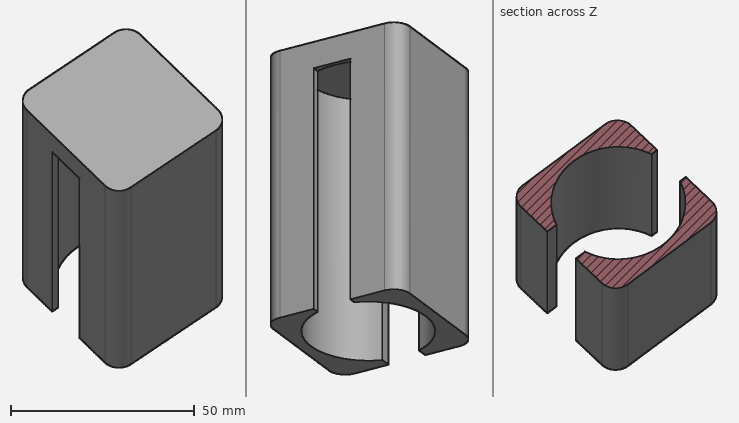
import cadquery as cq

bore_diameter = 36.4
roof_thickness = 2.0

side_wall = 3.4
front_wall = 1.2
back_wall = 2.5

length_x = bore_diameter + 2 * side_wall
width_y = bore_diameter + front_wall + back_wall
height = 81.0
corner_radius = 5.0

bore_center_y = (front_wall - back_wall) / 2
bore_depth = height - roof_thickness

slot_width = 11.6
slot_height = 73.0


def make_block():
    """Upright block with rounded vertical corners, standing on Z = 0."""
    block = cq.Workplane("XY").box(length_x, width_y, height, centered=(True, True, False))
    return block.edges("|Z").fillet(corner_radius)


def make_bore():
    """Cylinder that hollows the block from below."""
    return cq.Workplane("XY").center(0, bore_center_y).circle(bore_diameter / 2).extrude(bore_depth)


def make_slot():
    """Cutter for the slot, running along Y through both walls."""
    return cq.Workplane("XY").rect(slot_width, width_y).extrude(slot_height)


result = make_block().cut(make_bore()).cut(make_slot())